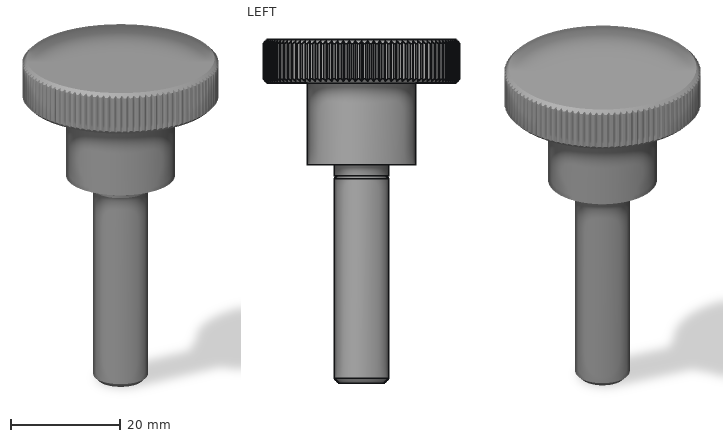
import cadquery as cq
import math

total_length = 63.0
head_diameter = 36.0
head_height = 8.0
head_chamfer = 0.75
hub_diameter = 20.0
hub_height = 15.0
stem_diameter = 10.0
tip_chamfer = 0.9

neck_length = 2.0
shank_top_chamfer = 0.5

flute_count = 100
flute_width = 0.7
flute_depth = 0.4

hub_top = total_length - head_height
hub_bottom = hub_top - hub_height
shank_top = hub_bottom - neck_length

head_radius = head_diameter / 2


def cylinder(diameter, bottom, top):
    """Round bar on the Z axis between two levels."""
    return cq.Workplane("XY").workplane(offset=bottom).circle(diameter / 2).extrude(top - bottom)


def rim_point(radius, angle):
    return (radius * math.cos(angle), radius * math.sin(angle))


def fluted_head():
    """Disc with a knurled rim and both rim edges chamfered."""
    flute_pitch = 2 * math.pi / flute_count
    half_flute = math.asin(flute_width / head_diameter)

    outline = cq.Workplane("XY").workplane(offset=hub_top)
    outline = outline.moveTo(*rim_point(head_radius, -half_flute))
    for index in range(flute_count):
        flute_angle = index * flute_pitch
        land_start = flute_angle + half_flute
        land_middle = flute_angle + flute_pitch / 2
        land_end = flute_angle + flute_pitch - half_flute
        outline = outline.lineTo(*rim_point(head_radius - flute_depth, flute_angle))
        outline = outline.lineTo(*rim_point(head_radius, land_start))
        outline = outline.threePointArc(
            rim_point(head_radius, land_middle),
            rim_point(head_radius, land_end),
        )
    knurled_disc = outline.close().extrude(head_height)

    chamfered_disc = cylinder(head_diameter, hub_top, total_length).edges().chamfer(head_chamfer)
    return knurled_disc.intersect(chamfered_disc)


def stem():
    """Shank chamfered at both ends below a neck of the same diameter.

    The upper chamfer meets the flat underside of the neck in a narrow ring groove.
    """
    shank = cylinder(stem_diameter, 0, shank_top)
    shank = shank.faces("<Z").edges().chamfer(tip_chamfer)
    shank = shank.faces(">Z").edges().chamfer(shank_top_chamfer)
    neck = cylinder(stem_diameter, shank_top, hub_bottom)
    return shank.union(neck)


hub = cylinder(hub_diameter, hub_bottom, hub_top)
result = fluted_head().union(hub).union(stem())